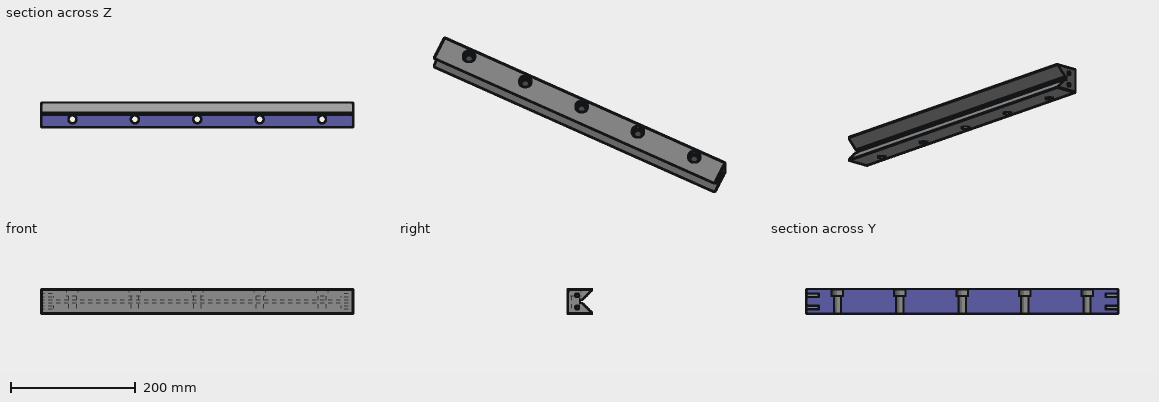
import cadquery as cq

length = 500.0
width = 40.0
height = 40.0
edge_chamfer = 1.5

groove_lip = 1.5
groove_mouth = height - 2 * groove_lip
relief_width = 5.0
relief_floor_y = 0.5

mount_hole_count = 5
mount_hole_pitch = length / mount_hole_count
mount_hole_y = -7.0
mount_hole_diameter = 12.5
counterbore_diameter = 18.5
counterbore_depth = 11.0
counterbore_chamfer = 0.75

end_hole_y = -4.25
end_hole_z = 9.75
end_hole_diameter = 5.25
end_hole_depth = 20.0
end_hole_chamfer = 0.375


def make_bar():
    """Rectangular bar chamfered around both ends and along the -Y long edges."""
    bar = cq.Workplane("XY").box(length, width, height)
    return bar.edges("<X or >X or <Y").chamfer(edge_chamfer)


def make_groove():
    """Full-length cutter for the V groove and its relief slot."""
    half_mouth = groove_mouth / 2
    half_relief = relief_width / 2
    mouth_y = width / 2
    throat_y = mouth_y - (half_mouth - half_relief)
    outline = [
        (mouth_y, half_mouth),
        (throat_y, half_relief),
        (relief_floor_y, half_relief),
        (relief_floor_y, -half_relief),
        (throat_y, -half_relief),
        (mouth_y, -half_mouth),
    ]
    return cq.Workplane("YZ").polyline(outline).close().extrude(length / 2, both=True)


def make_bore(diameter, depth):
    """Cylindrical cutter running down from Z = 0."""
    return cq.Workplane("XY").circle(diameter / 2).extrude(-depth)


def make_rim(diameter, chamfer):
    """45 degree rim cutter, widest at Z = 0 and narrowing downward to the bore."""
    radius = diameter / 2
    cone = cq.Solid.makeCone(radius, radius + chamfer, chamfer, cq.Vector(0, 0, -chamfer))
    return cq.Workplane(cone)


def cut_mount_holes(body):
    """Row of counterbored through holes opening on the top face."""
    hole = make_bore(mount_hole_diameter, height)
    hole = hole.union(make_bore(counterbore_diameter, counterbore_depth))
    hole = hole.union(make_rim(counterbore_diameter, counterbore_chamfer))
    for index in range(mount_hole_count):
        hole_x = (index + 0.5) * mount_hole_pitch - length / 2
        body = body.cut(hole.translate((hole_x, mount_hole_y, height / 2)))
    return body


def cut_end_holes(body):
    """Pair of blind holes with chamfered rims in each end face."""
    hole = make_bore(end_hole_diameter, end_hole_depth)
    hole = hole.union(make_rim(end_hole_diameter, end_hole_chamfer))
    for end in (-1, 1):
        end_hole = hole.rotate((0, 0, 0), (0, 1, 0), end * 90)
        for side in (-1, 1):
            body = body.cut(end_hole.translate((end * length / 2, end_hole_y, side * end_hole_z)))
    return body


result = make_bar().cut(make_groove())
result = cut_mount_holes(result)
result = cut_end_holes(result)